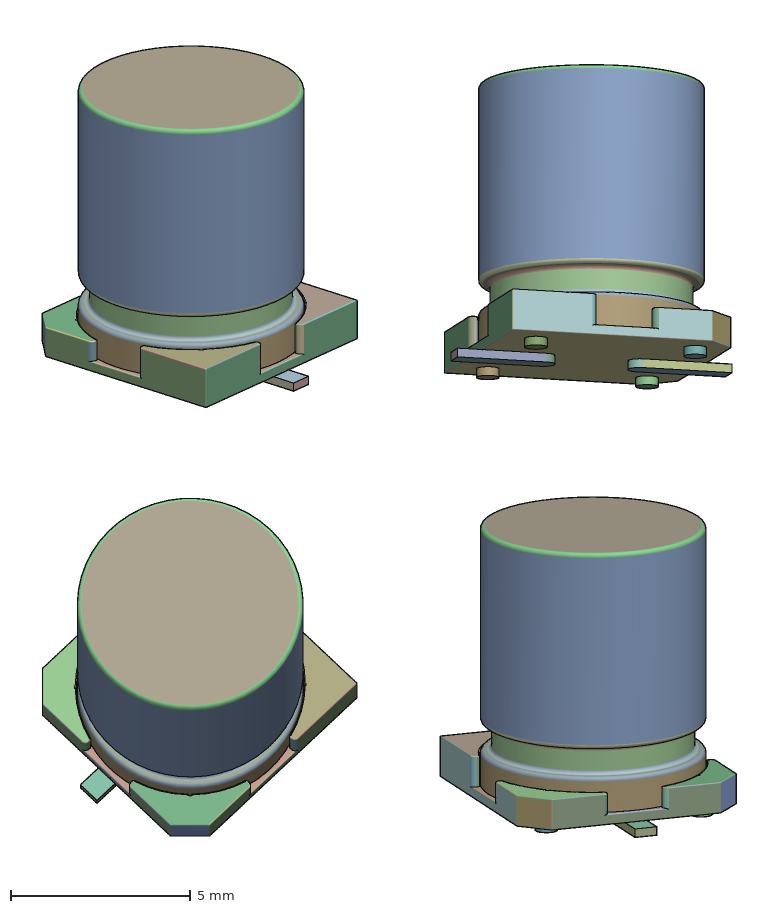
import cadquery as cq
import math

height = 8.0
lead_span = 8.0
base_width = 6.6

can_diameter = 6.3
neck_diameter = 5.67
can_edge_radius = 0.12
groove_top = 2.35
groove_bottom = 1.54

standoff = 0.25
floor_z = 0.54
low_post_top = 1.14
high_post_top = 1.42
corner_chamfer = 0.77
base_edge_radius = 0.03
bore_radius = 3.18
notch_half_width = 0.83
post_outer_radius = 0.14
post_inner_radius = 0.06
relief_radius = 0.06

foot_diameter = 0.63
foot_spacing = 4.64
lead_width = 0.66
lead_gap = 2.16

half_base = base_width / 2
can_radius = can_diameter / 2
neck_radius = neck_diameter / 2


def make_can():
    """Revolved can with a rounded groove above its foot."""
    r = can_edge_radius
    bulge = r * math.sqrt(0.5)
    profile = (
        cq.Workplane("XZ")
        .moveTo(0, floor_z)
        .lineTo(can_radius, floor_z)
        .lineTo(can_radius, groove_bottom - r)
        .threePointArc(
            (can_radius - r + bulge, groove_bottom - r + bulge),
            (can_radius - r, groove_bottom),
        )
        .lineTo(neck_radius + r, groove_bottom)
        .threePointArc(
            (neck_radius + r - bulge, groove_bottom + r - bulge),
            (neck_radius, groove_bottom + r),
        )
        .lineTo(neck_radius, groove_top - r)
        .threePointArc(
            (neck_radius + r - bulge, groove_top - r + bulge),
            (neck_radius + r, groove_top),
        )
        .lineTo(can_radius - r, groove_top)
        .threePointArc(
            (can_radius - r + bulge, groove_top + r - bulge),
            (can_radius, groove_top + r),
        )
        .lineTo(can_radius, height - r)
        .threePointArc(
            (can_radius - r + bulge, height - r + bulge),
            (can_radius - r, height),
        )
        .lineTo(0, height)
        .close()
    )
    return profile.revolve(360, (0, 0, 0), (0, 1, 0))


def make_base_blank():
    """Chamfered low slab joined to a taller slab over the +X half."""
    low = (
        cq.Workplane("XY", origin=(0, 0, standoff))
        .rect(base_width, base_width)
        .extrude(low_post_top - standoff)
        .edges("|Z and <X")
        .chamfer(corner_chamfer)
        .edges("|Z")
        .fillet(base_edge_radius)
    )
    high = (
        cq.Workplane("XY", origin=(half_base / 2, 0, standoff))
        .rect(half_base, base_width)
        .extrude(high_post_top - standoff)
        .edges("|Z and >X")
        .fillet(base_edge_radius)
    )
    return low.union(high)


def make_notch():
    """Cutter for the notch in the -Y side, flared where the posts round into the outer face."""
    r = post_outer_radius
    mouth = notch_half_width + r
    bulge = r * (1 - math.sqrt(0.5))
    outside = -half_base - r
    return (
        cq.Workplane("XY", origin=(0, 0, floor_z))
        .moveTo(-notch_half_width, 0)
        .lineTo(-notch_half_width, -half_base + r)
        .threePointArc((-notch_half_width - bulge, -half_base + bulge), (-mouth, -half_base))
        .lineTo(-mouth, outside)
        .lineTo(mouth, outside)
        .lineTo(mouth, -half_base)
        .threePointArc((notch_half_width + bulge, -half_base + bulge), (notch_half_width, -half_base + r))
        .lineTo(notch_half_width, 0)
        .close()
        .extrude(high_post_top)
    )


def make_base():
    """Base with the can seat, four side notches and diagonal relief grooves."""
    base = make_base_blank()
    seat = cq.Workplane("XY", origin=(0, 0, floor_z))
    base = base.cut(seat.circle(bore_radius).extrude(high_post_top))
    for quarter in range(4):
        base = base.cut(make_notch().rotate((0, 0, 0), (0, 0, 1), 90 * quarter))

    inner_limit = math.sqrt(bore_radius**2 - notch_half_width**2) + post_inner_radius
    inner_box = cq.selectors.BoxSelector(
        (-inner_limit, -inner_limit, floor_z),
        (inner_limit, inner_limit, high_post_top),
    )
    base = base.edges("|Z").edges(inner_box).fillet(post_inner_radius)

    grooves = seat.polarArray(bore_radius, 45, 360, 4).circle(relief_radius).extrude(high_post_top)
    base = base.cut(grooves)

    rims = base.faces("|Z").faces(">Z or >Z[-2]").edges()
    rims = rims.add(base.edges("<Z"))
    rims = rims.add(base.edges("(|X and (<Y or >Y)) or (|Y and (<X or >X))"))
    return rims.fillet(base_edge_radius)


def make_feet():
    """Four round standoff feet under the corners."""
    return (
        cq.Workplane("XY")
        .rect(foot_spacing, foot_spacing, forConstruction=True)
        .vertices()
        .circle(foot_diameter / 2)
        .extrude(standoff)
    )


def make_lead(side):
    """Flat lead on the side given by the sign, with a full round inner end."""
    inner = lead_gap / 2
    round_center = inner + lead_width / 2
    return (
        cq.Workplane("XY")
        .moveTo(side * lead_span / 2, -lead_width / 2)
        .lineTo(side * round_center, -lead_width / 2)
        .threePointArc((side * inner, 0), (side * round_center, lead_width / 2))
        .lineTo(side * lead_span / 2, lead_width / 2)
        .close()
        .extrude(standoff)
    )


result = make_base().union(make_can()).union(make_feet())
for side in (-1, 1):
    result = result.union(make_lead(side))